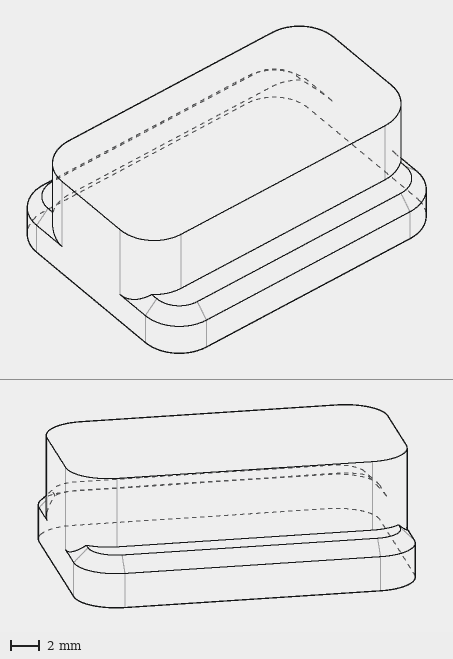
import cadquery as cq

length = 24.0
base_width = 18.0
total_height = 8.5
corner_radius = 3.0

base_height = 3.5
bevel = 1.0

block_width = 12.43


def rounded_slab(width, height):
    """Full-length slab standing on Z = 0 with rounded vertical corners."""
    slab = cq.Workplane("XY").box(width, length, height, centered=(True, True, False))
    return slab.edges("|Z").fillet(corner_radius)


base = rounded_slab(base_width, base_height).faces(">Z").edges().chamfer(bevel)
block = rounded_slab(block_width, total_height)

result = base.union(block)